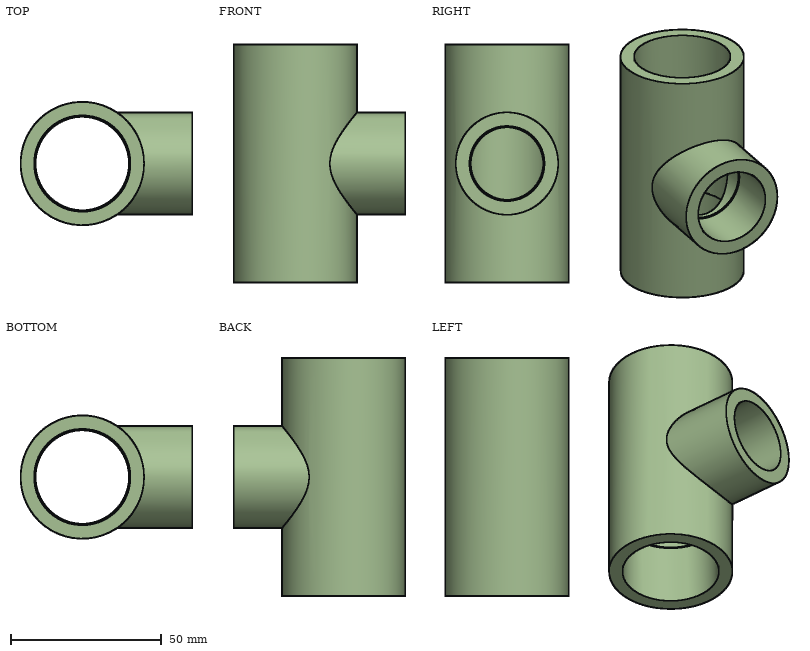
import cadquery as cq

run_length = 79.0
run_outer_diameter = 41.0
run_socket_diameter = 32.0
run_bore_diameter = 31.0
run_socket_depth = 22.0

overall_width = 57.0
branch_outer_diameter = 34.0
branch_socket_diameter = 25.0
branch_bore_diameter = 24.0
branch_socket_depth = 19.0
branch_reach = overall_width - run_outer_diameter / 2


def run_cylinder(diameter, length):
    """Cylinder on the Z axis, centred on the origin."""
    return cq.Workplane("XY").circle(diameter / 2).extrude(length / 2, both=True)


def branch_cylinder(diameter, start, end):
    """Cylinder on the X axis between two distances from the run axis."""
    return cq.Workplane("YZ").workplane(offset=start).circle(diameter / 2).extrude(end - start)


def run_socket(side):
    """Pipe socket at the top (side = 1) or bottom (side = -1) of the run."""
    mouth = cq.Workplane("XY").workplane(offset=side * run_length / 2)
    return mouth.circle(run_socket_diameter / 2).extrude(-side * run_socket_depth)


body = run_cylinder(run_outer_diameter, run_length)
body = body.union(branch_cylinder(branch_outer_diameter, 0, branch_reach))

body = body.cut(run_cylinder(run_bore_diameter, run_length))
body = body.cut(branch_cylinder(branch_bore_diameter, 0, branch_reach))

for side in (1, -1):
    body = body.cut(run_socket(side))
branch_socket_start = branch_reach - branch_socket_depth
body = body.cut(branch_cylinder(branch_socket_diameter, branch_socket_start, branch_reach))

result = body